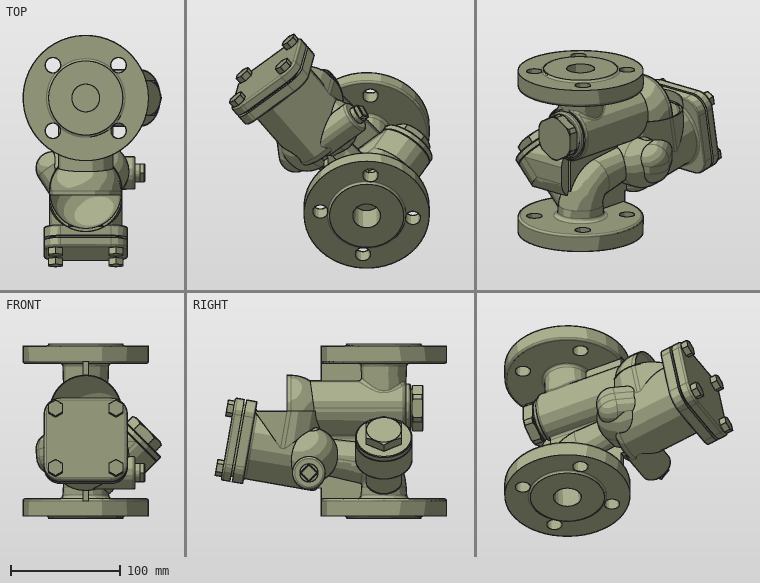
import cadquery as cq
import math

overall_height = 160.0
flange_diameter = 115.0
raised_face_diameter = 68.0
raised_face_height = 2.0
raised_face_fillet = 2.0
flange_thickness = 16.0
flange_edge_fillet = 2.0
bolt_circle_diameter = 85.0
bolt_hole_diameter = 14.0
bolt_hole_count = 4
bore_diameter = 25.5
bore_depth = 30.0
neck_root_diameter = 42.0
neck_end_diameter = 40.4
upper_neck_fillet = 2.5
lower_neck_fillet = 3.6

end_z = overall_height / 2
flange_face_z = end_z - raised_face_height
flange_back_z = flange_face_z - flange_thickness
upper_neck_root_z = flange_back_z - upper_neck_fillet
lower_neck_root_z = lower_neck_fillet - flange_back_z

barrel_radius = 25.2
barrel_z = 21.0
barrel_back_y = 20.2
barrel_chamfer = 1.6
barrel_neck_fillet = 3.0
collar_radius = 22.2
collar_end_y = 24.4
collar_fillet = 1.5
plug_neck_radius = 17.4
plug_head_y = 26.0
plug_end_y = 35.8
plug_head_diameter = 42.0
plug_head_flats = 38.5
plug_head_chamfer = 0.8

tilt = math.radians(10)
chamber_radius = 33.4
mitre_y = -94.7
mitre_z = -15.6
chamber_back_y = -59.5
chamber_back_fillet = 6.0
dome_radius = 33.0
dome_y = -85.2
rim_y = -88.9
rim_z = 18.3
bowl_y = -87.0
bowl_radius = 32.6
joint_relief_radius = 34.8
riser_shift = (rim_y - dome_y) * math.cos(tilt)

cover_side = 76.4
cover_corner_radius = 15.0
joint_flange_back = 28.5
joint_flange_front = 38.3
joint_flange_fillet = 1.0
joint_root_fillet = 2.0
cover_back = 40.4
cover_front = 48.8
cover_fillet = 2.0
gasket_side = 2 * chamber_radius
gasket_corner_radius = 10.0
cover_bolt_spacing = 55.4
cover_bolt_flats = 13.0
cover_bolt_height = 6.05

elbow_axis_z = -32.8
elbow_bend_radius = 22.0
elbow_exit_radius = 16.0

ball_radius = 25.4
ball_x = 14.2
ball_y = -67.5
ball_z = -22.0
pod_radius = 15.3
pod_half_rise = 3.8
pod_x = -30.0
pod_y = -65.0
pod_z = -20.5
pod_heading = math.radians(33)
pod_length = 45.0
drain_radius = 15.0
drain_y = -68.7
drain_z = -38.3
drain_end_x = 45.4
drain_fillet = 2.0
drain_cap_diameter = 16.7
drain_square_x = 49.9
drain_cap_end_x = 54.4
drain_cap_chamfer = 0.8

strainer_offset = 39.6
strainer_inner_radius = 16.4
strainer_inner_start = -25.8
strainer_boss_radius = 26.0
strainer_boss_start = 3.4
strainer_boss_end = 26.0
strainer_gasket_radius = 21.5
strainer_disc_start = 26.8
strainer_disc_end = 32.0
strainer_disc_chamfer = 0.8
strainer_head_end = 41.3
strainer_head_corners = 37.4
strainer_head_chamfer_radius = 2.8
strainer_head_chamfer_height = 1.5

web_thickness = 5.0
web_fillet = 2.4
web_front_y = -flange_diameter / 2
web_back_y = 16.5
web_overlap = 2.0
web_foot_y = -70.0
web_foot_z = -52.3

hex_corner_ratio = 2 / math.sqrt(3)
half_root = math.sqrt(0.5)


def cylinder_x(radius, x_start, x_end, y, z):
    plane = cq.Plane(origin=(x_start, y, z), xDir=(0, 1, 0), normal=(1, 0, 0))
    return cq.Workplane(plane).circle(radius).extrude(x_end - x_start)


def cylinder_y(radius, y_start, y_end, z):
    plane = cq.Plane(origin=(0, y_start, z), xDir=(1, 0, 0), normal=(0, 1, 0))
    return cq.Workplane(plane).circle(radius).extrude(y_end - y_start)


def sphere(radius, x, y, z):
    return cq.Workplane("XY").sphere(radius).translate((x, y, z))


def round_ended_bar(plane, radius, length, far_end_round):
    """Bar along the plane normal with a hemisphere below the origin and, if asked, at the far end."""
    diagonal = radius * half_root
    profile = (
        cq.Workplane("XZ")
        .moveTo(0, -radius)
        .threePointArc((diagonal, -diagonal), (radius, 0))
        .lineTo(radius, length)
    )
    if far_end_round:
        profile = profile.threePointArc((diagonal, length + diagonal), (0, length + radius))
    else:
        profile = profile.lineTo(0, length)
    bar = profile.close().revolve(360, (0, 0, 0), (0, 1, 0)).val()
    return cq.Workplane(bar.moved(plane.location))


def box_between(low, high):
    size = [b - a for a, b in zip(low, high)]
    return cq.Workplane("XY").box(*size, centered=False).translate(low)


def flange(neck_fillet):
    """Pipe flange facing up, with its raised face, edge round and flared neck root."""
    neck_root_z = flange_back_z - neck_fillet
    face_radius = raised_face_diameter / 2
    rim_radius = flange_diameter / 2
    root_radius = neck_root_diameter / 2
    profile = (
        cq.Workplane("XZ")
        .moveTo(0, end_z)
        .lineTo(face_radius, end_z)
        .threePointArc(
            (
                face_radius + raised_face_fillet * (1 - half_root),
                flange_face_z + raised_face_fillet * (1 - half_root),
            ),
            (face_radius + raised_face_fillet, flange_face_z),
        )
        .lineTo(rim_radius, flange_face_z)
        .lineTo(rim_radius, flange_back_z + flange_edge_fillet)
        .threePointArc(
            (
                rim_radius - flange_edge_fillet * (1 - half_root),
                flange_back_z + flange_edge_fillet * (1 - half_root),
            ),
            (rim_radius - flange_edge_fillet, flange_back_z),
        )
        .lineTo(root_radius + neck_fillet, flange_back_z)
        .threePointArc(
            (
                root_radius + neck_fillet * (1 - half_root),
                flange_back_z - neck_fillet * (1 - half_root),
            ),
            (root_radius, neck_root_z),
        )
        .lineTo(0, neck_root_z)
        .close()
    )
    solid = profile.revolve(360, (0, 0, 0), (0, 1, 0))
    holes = (
        cq.Workplane("XY", origin=(0, 0, flange_back_z))
        .polarArray(bolt_circle_diameter / 2, 45, 360, bolt_hole_count)
        .circle(bolt_hole_diameter / 2)
        .extrude(flange_thickness)
    )
    return solid.cut(holes)


def barrel_with_neck_and_web():
    """Barrel with the tapered neck of the upper flange above it and the lower web below it."""
    barrel = cylinder_y(barrel_radius, dome_y, barrel_back_y, barrel_z)
    barrel = barrel.faces(">Y").chamfer(barrel_chamfer)
    neck_end_z = barrel_z + barrel_radius / 2
    neck = (
        cq.Workplane("XY", origin=(0, 0, upper_neck_root_z))
        .circle(neck_root_diameter / 2)
        .workplane(offset=neck_end_z - upper_neck_root_z)
        .circle(neck_end_diameter / 2)
        .loft()
    )
    half = neck_root_diameter / 2
    barrel_top = barrel_z + barrel_radius
    joint = cq.selectors.BoxSelector((-half, -half, neck_end_z), (half, half, barrel_top))
    barrel = barrel.union(neck).edges(joint).fillet(barrel_neck_fillet)
    barrel_bottom = barrel_z - barrel_radius
    web_half = web_thickness / 2
    lower_web = box_between(
        (-web_half, web_front_y, -flange_back_z - web_overlap), (web_half, web_back_y, barrel_z)
    )
    root = cq.selectors.BoxSelector(
        (-web_thickness, web_front_y + web_fillet, barrel_bottom - web_half),
        (web_thickness, web_back_y - web_fillet, barrel_bottom + web_half),
    )
    return barrel.union(lower_web).edges(root).fillet(web_fillet)


def barrel_plug():
    """Stepped collar and rounded hexagon head closing the +Y end of the barrel."""
    collar = cylinder_y(collar_radius, barrel_back_y, collar_end_y, barrel_z)
    collar = collar.faces(">Y").edges().fillet(collar_fillet)
    neck = cylinder_y(plug_neck_radius, collar_end_y, plug_head_y, barrel_z)
    plane = cq.Plane(origin=(0, plug_head_y, barrel_z), xDir=(0, 0, 1), normal=(0, 1, 0))
    head = cq.Workplane(plane).polygon(6, plug_head_flats * hex_corner_ratio)
    head = head.extrude(plug_end_y - plug_head_y)
    rounding = cylinder_y(plug_head_diameter / 2, plug_head_y, plug_end_y, barrel_z)
    rounding = rounding.faces("<Y or >Y").chamfer(plug_head_chamfer)
    return collar.union(neck).union(head.intersect(rounding))


def chamber_plane(along=0.0):
    """Plane across the chamber axis; local x is X, local y points up and a little back."""
    normal = (0, -math.cos(tilt), math.sin(tilt))
    origin = (0, mitre_y + along * normal[1], mitre_z + along * normal[2])
    return cq.Plane(origin=origin, xDir=(1, 0, 0), normal=normal)


def chamber():
    """Tilted pipe to the cover, mitred with a riser of the same radius that ends at the rim."""
    reach = 4 * chamber_radius
    pipe = (
        cq.Workplane(chamber_plane(joint_flange_back))
        .circle(chamber_radius)
        .extrude(-reach)
        .cut(box_between((-reach, chamber_back_y, -reach), (reach, reach, reach)))
        .faces(">Y")
        .edges()
        .fillet(chamber_back_fillet)
    )
    riser_plane = cq.Plane(
        origin=(0, mitre_y, mitre_z),
        xDir=(1, 0, 0),
        normal=(0, math.sin(tilt), math.cos(tilt)),
    )
    riser_height = 2 * chamber_radius
    shift = -riser_shift
    riser = (
        cq.Workplane(riser_plane)
        .moveTo(-chamber_radius, 0)
        .threePointArc((0, -chamber_radius), (chamber_radius, 0))
        .lineTo(chamber_radius, shift)
        .threePointArc((0, chamber_radius + shift), (-chamber_radius, shift))
        .close()
        .extrude(riser_height)
    )
    above_rim = box_between((-reach, -3 * reach, rim_z), (reach, reach, reach))
    return pipe.union(riser.cut(above_rim))


def dome():
    """Half dome standing on the riser with a short straight band up to its front rim."""
    reach = 2 * dome_radius
    plane = cq.Plane(origin=(0, dome_y, rim_z), xDir=(1, 0, 0), normal=(0, -1, 0))
    dome_bar = round_ended_bar(plane, dome_radius, dome_y - rim_y, far_end_round=False)
    upper_half = box_between((-reach, rim_y, rim_z), (reach, dome_y + reach, rim_z + reach))
    return dome_bar.intersect(upper_half)


def rounded_square(side, corner_radius, start, end):
    return (
        cq.Workplane(chamber_plane(start))
        .rect(side, side)
        .extrude(end - start)
        .edges(cq.selectors.ParallelDirSelector(chamber_plane().zDir))
        .fillet(corner_radius)
    )


def joint_root():
    """Concave ring filling the corner between the chamber pipe and its square flange."""
    size = joint_root_fillet
    inset = size * (1 - half_root)
    ring = (
        cq.Workplane("XZ")
        .moveTo(chamber_radius - size, 0)
        .lineTo(chamber_radius + size, 0)
        .threePointArc((chamber_radius + inset, -inset), (chamber_radius, -size))
        .lineTo(chamber_radius - size, -size)
        .close()
        .revolve(360, (0, 0, 0), (0, 1, 0))
    )
    return cq.Workplane(ring.val().moved(chamber_plane(joint_flange_back).location))


def cover_joint():
    """Body flange, gasket, cover plate and four hexagon bolt heads."""
    front_face = cq.selectors.DirectionMinMaxSelector(chamber_plane().zDir)
    back_face = cq.selectors.DirectionMinMaxSelector(chamber_plane().zDir, directionMax=False)
    joint_flange = rounded_square(cover_side, cover_corner_radius, joint_flange_back, joint_flange_front)
    joint_flange = joint_flange.faces(back_face).edges().fillet(joint_flange_fillet)
    gasket = rounded_square(gasket_side, gasket_corner_radius, joint_flange_front, cover_back)
    cover = rounded_square(cover_side, cover_corner_radius, cover_back, cover_front)
    cover = cover.faces(front_face).edges().fillet(cover_fillet)
    heads = (
        cq.Workplane(chamber_plane(cover_front))
        .transformed(rotate=(0, 0, 90))
        .rect(cover_bolt_spacing, cover_bolt_spacing, forConstruction=True)
        .vertices()
        .polygon(6, cover_bolt_flats * hex_corner_ratio)
        .extrude(cover_bolt_height)
    )
    return joint_flange.union(joint_root()).union(gasket).union(cover).union(heads)


def elbow():
    """Tapered pipe that leaves the lower flange upwards and bends towards the ball housing."""
    turn = math.pi / 2 - tilt
    setback = elbow_bend_radius * math.tan(turn / 2)
    bend_start_z = elbow_axis_z - setback
    bend_end = (-setback * math.cos(tilt), elbow_axis_z + setback * math.sin(tilt))
    bend_middle = (
        -elbow_bend_radius * (1 - math.cos(turn / 2)),
        bend_start_z + elbow_bend_radius * math.sin(turn / 2),
    )
    pipe_end = (ball_y, elbow_axis_z - ball_y * math.tan(tilt))
    path = (
        cq.Workplane("YZ")
        .moveTo(0, lower_neck_root_z)
        .lineTo(0, bend_start_z)
        .threePointArc(bend_middle, bend_end)
        .lineTo(*pipe_end)
    )
    end_plane = cq.Plane(
        origin=(0, *pipe_end), xDir=(1, 0, 0), normal=(0, -math.cos(tilt), math.sin(tilt))
    )
    start = cq.Workplane("XY", origin=(0, 0, lower_neck_root_z)).circle(neck_root_diameter / 2)
    end = cq.Workplane(end_plane).circle(elbow_exit_radius)
    return start.add(end).toPending().sweep(path, multisection=True)


def ball_housing():
    """Round-ended crosswise housing, its pod on the -X side and the drain boss on the +X side."""
    housing_plane = cq.Plane(origin=(-ball_x, ball_y, ball_z), xDir=(0, 1, 0), normal=(1, 0, 0))
    housing = round_ended_bar(housing_plane, ball_radius, 2 * ball_x, far_end_round=True)
    pod_plane = cq.Plane(
        origin=(pod_x, pod_y, pod_z),
        xDir=(math.cos(pod_heading), math.sin(pod_heading), 0),
        normal=(
            math.sin(pod_heading) * math.cos(tilt),
            -math.cos(pod_heading) * math.cos(tilt),
            math.sin(tilt),
        ),
    )
    pod_core = (
        cq.Workplane("XZ", origin=(0, pod_half_rise, 0))
        .moveTo(-pod_radius, 0)
        .threePointArc((0, -pod_radius), (pod_radius, 0))
        .lineTo(pod_radius, pod_length)
        .lineTo(-pod_radius, pod_length)
        .close()
        .extrude(2 * pod_half_rise)
    )
    pod = cq.Workplane(pod_core.val().moved(pod_plane.location))
    for rise in (-pod_half_rise, pod_half_rise):
        origin = pod_plane.toWorldCoords((0, rise, 0))
        side_plane = cq.Plane(origin=origin, xDir=pod_plane.xDir, normal=pod_plane.zDir)
        pod = pod.union(round_ended_bar(side_plane, pod_radius, pod_length, far_end_round=False))
    drain = cylinder_x(drain_radius, 0, drain_end_x, drain_y, drain_z)
    drain = drain.faces(">X").edges().fillet(drain_fillet)
    cap_radius = drain_cap_diameter / 2
    cap_neck = cylinder_x(cap_radius, drain_end_x, drain_square_x, drain_y, drain_z)
    square_plane = cq.Plane(origin=(drain_square_x, drain_y, drain_z), xDir=(0, 1, 0), normal=(1, 0, 0))
    square = (
        cq.Workplane(square_plane)
        .polygon(4, drain_cap_diameter)
        .extrude(drain_cap_end_x - drain_square_x)
        .faces(">X")
        .chamfer(drain_cap_chamfer)
    )
    return housing.union(pod).union(drain).union(cap_neck).union(square)


def strainer_plane(along):
    """Plane across the leaning strainer axis; local x is the Y axis."""
    origin = ((along + strainer_offset) * half_root, 0, (along - strainer_offset) * half_root)
    return cq.Plane(origin=origin, xDir=(0, 1, 0), normal=(1, 0, 1))


def strainer_cylinder(radius, start, end):
    return cq.Workplane(strainer_plane(start)).circle(radius).extrude(end - start)


def strainer_boss():
    """Stepped leaning boss, filled along X back to a flat face at the middle of the part."""
    inner = strainer_cylinder(strainer_inner_radius, strainer_inner_start, strainer_boss_start)
    outer = strainer_cylinder(strainer_boss_radius, strainer_boss_start, strainer_boss_end)
    upper_z = (strainer_boss_end - strainer_offset) * half_root
    lower_z = (strainer_boss_start - strainer_offset) * half_root
    half_height = strainer_boss_radius * half_root
    fill_length = 3 * strainer_boss_radius
    fill = box_between(
        (0, -strainer_boss_radius, lower_z), (fill_length, strainer_boss_radius, upper_z)
    )
    for z in (lower_z, upper_z):
        ellipse = cq.Workplane("YZ").center(0, z).ellipse(strainer_boss_radius, half_height)
        fill = fill.union(ellipse.extrude(fill_length))
    limit_length = 2 * fill_length
    end_plane = strainer_plane(strainer_boss_end)
    limit = cq.Workplane(end_plane).circle(strainer_boss_radius).extrude(-limit_length)
    inward = (
        cq.Workplane(end_plane)
        .center(0, fill_length / 2)
        .rect(2 * strainer_boss_radius, fill_length)
        .extrude(-limit_length)
    )
    return inner.union(outer).union(fill.intersect(limit.union(inward)))


def web_ends():
    """Upper part of the web in the YZ plane and its foot under the chamber."""
    half = web_thickness / 2
    upper = box_between((-half, web_front_y, barrel_z), (half, 0, flange_back_z + web_overlap))
    foot = box_between((-half, web_foot_y, web_foot_z), (half, web_front_y, ball_z))
    return upper.union(foot)


def bore(direction):
    mouth = cq.Workplane("XY", origin=(0, 0, direction * end_z)).circle(bore_diameter / 2)
    return mouth.extrude(-direction * bore_depth)


def trap_body():
    body = flange(upper_neck_fillet).union(flange(lower_neck_fillet).mirror("XY"))
    body = body.union(barrel_with_neck_and_web()).union(barrel_plug())
    body = body.union(web_ends()).union(elbow()).union(strainer_boss())
    for piece in (dome(), chamber(), ball_housing()):
        body = body.union(piece, clean=False)
    relief = sphere(joint_relief_radius, 0, rim_y, rim_z)
    body = body.union(cover_joint().cut(relief), clean=False)
    body = body.cut(sphere(bowl_radius, 0, bowl_y, rim_z), clean=False)
    return body.cut(bore(1), clean=False).cut(bore(-1), clean=False)


def strainer_plug():
    """Gasket, disc and chamfered hexagon head seated on the strainer boss."""
    axis = strainer_plane(0).zDir
    gasket = strainer_cylinder(strainer_gasket_radius, strainer_boss_end, strainer_disc_start)
    disc = (
        strainer_cylinder(strainer_boss_radius, strainer_disc_start, strainer_disc_end)
        .faces(cq.selectors.DirectionMinMaxSelector(axis))
        .chamfer(strainer_disc_chamfer)
    )
    height = strainer_head_end - strainer_disc_end
    head = cq.Workplane(strainer_plane(strainer_disc_end)).transformed(rotate=(0, 0, 90))
    head = head.polygon(6, strainer_head_corners).extrude(height)
    cone = (
        strainer_cylinder(strainer_head_corners / 2, strainer_disc_end, strainer_head_end)
        .faces(cq.selectors.DirectionMinMaxSelector(axis))
        .chamfer(strainer_head_chamfer_height, strainer_head_chamfer_radius)
    )
    return gasket.union(disc).union(head.intersect(cone))


body = trap_body()
plug = strainer_plug()
result = cq.Compound.makeCompound([body.val(), plug.val()])